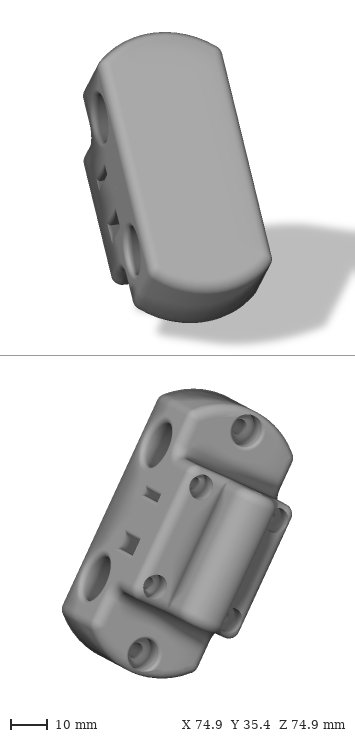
import cadquery as cq
import math


TILT = 45.0
DEPTH = 35.4
EDGE_ROUND = 3.0
CUT_EXTRA = 0.75
TOLERANCE = 0.01

ROD_SPACING = 40.0
HEAD_HALF_HEIGHT = 12.0
NECK_WIDTH = ROD_SPACING
NECK_BOTTOM = -25.0
NECK_CORNER_RADIUS = 3.0
BASE_TOP = -15.0

END_RADIUS = DEPTH / math.sqrt(2)
END_CORNER_X = ROD_SPACING / 2 + HEAD_HALF_HEIGHT
END_X = END_CORNER_X + END_RADIUS * (1 - math.sqrt(0.5))

FIN_WIDTH = 13.0
FIN_BOTTOM = -38.1
FIN_AXIS_Z = FIN_BOTTOM + FIN_WIDTH / 2
FIN_HOLE_DIAMETER = 3.8

BORE_DIAMETER = 13.0
BORE_MOUTH_ROUND = 1.5
POCKET_DIAMETER = 15.0
POCKET_LIP = 5.0

BELT_SLOTS = [(-7.0, 2.0), (7.6, 4.6)]
SLOT_HEIGHT = 10.0
SLOT_MOUTH_ROUND = 1.0

CLAMP_SCREW_X = 33.5
CLAMP_HEAD_DIAMETER = 9.0
CLAMP_HEAD_DEPTH = 5.6
CLAMP_SHANK_DIAMETER = 4.5
CLAMP_MOUTH_ROUND = 1.0

BASE_SCREW_INSET = 5.0
BASE_HEAD_DIAMETER = 7.0
BASE_HEAD_DEPTH = 4.95
BASE_SHANK_DIAMETER = 3.5


def block(x_size, y_size, z_bottom, z_top):
    """A box centred on X and Y between two heights."""
    height = z_top - z_bottom
    return cq.Workplane("XY", origin=(0, 0, z_bottom)).box(x_size, y_size, height, (True, True, False))


def rod_along_y(x, diameter, length):
    """A cylinder along Y, centred on the depth of the body, at the height of the first split."""
    return cq.Workplane("XZ", origin=(x, 0, 0)).circle(diameter / 2).extrude(length / 2, both=True)


def head_and_neck():
    """The rounded T shape that the three bodies share."""
    head_plan = (
        cq.Workplane("XY", origin=(0, 0, -HEAD_HALF_HEIGHT))
        .moveTo(-END_CORNER_X, -DEPTH / 2)
        .lineTo(END_CORNER_X, -DEPTH / 2)
        .threePointArc((END_X, 0), (END_CORNER_X, DEPTH / 2))
        .lineTo(-END_CORNER_X, DEPTH / 2)
        .threePointArc((-END_X, 0), (-END_CORNER_X, -DEPTH / 2))
        .close()
    )
    head = head_plan.extrude(2 * HEAD_HALF_HEIGHT)
    neck = block(NECK_WIDTH, DEPTH, NECK_BOTTOM, 0)
    shape = head.union(neck)
    inner_corners = shape.edges("|Y").edges(">Z")
    shape = inner_corners.fillet(NECK_CORNER_RADIUS)
    return shape.edges("(not |Y) or <Z").fillet(EDGE_ROUND)


def cut_bores(shape):
    """Cut both rod bores, round their mouths and open the bearing pockets between the lips."""
    rod_places = (-ROD_SPACING / 2, ROD_SPACING / 2)
    for x in rod_places:
        shape = shape.cut(rod_along_y(x, BORE_DIAMETER, DEPTH + 2 * CUT_EXTRA))
    mouths = shape.edges("%CIRCLE").filter(lambda edge: abs(edge.radius() - BORE_DIAMETER / 2) < TOLERANCE)
    shape = mouths.fillet(BORE_MOUTH_ROUND)
    for x in rod_places:
        shape = shape.cut(rod_along_y(x, POCKET_DIAMETER, DEPTH - 2 * POCKET_LIP))
    return shape


def hinge_fin():
    """The fin under the base: round along its bottom, with rounded rims at both ends."""
    profile = (
        cq.Workplane("YZ", origin=(-NECK_WIDTH / 2, 0, 0))
        .moveTo(-FIN_WIDTH / 2, BASE_TOP)
        .lineTo(-FIN_WIDTH / 2, FIN_AXIS_Z)
        .threePointArc((0, FIN_BOTTOM), (FIN_WIDTH / 2, FIN_AXIS_Z))
        .lineTo(FIN_WIDTH / 2, BASE_TOP)
        .close()
    )
    fin = profile.extrude(NECK_WIDTH)
    return fin.faces("<X or >X").edges("not(>Z)").fillet(EDGE_ROUND)


def clamp_screw_cutter(x):
    """A counterbored screw hole up to the first split, with a rounded mouth under the ear."""
    bottom = -HEAD_HALF_HEIGHT
    head_radius = CLAMP_HEAD_DIAMETER / 2
    shank_radius = CLAMP_SHANK_DIAMETER / 2
    mouth_radius = head_radius + CLAMP_MOUTH_ROUND
    floor = bottom + CLAMP_HEAD_DEPTH
    bend = CLAMP_MOUTH_ROUND * (1 - math.sqrt(0.5))
    return (
        cq.Workplane("XZ", origin=(x, 0, 0))
        .moveTo(0, bottom)
        .lineTo(mouth_radius, bottom)
        .threePointArc((head_radius + bend, bottom + bend), (head_radius, bottom + CLAMP_MOUTH_ROUND))
        .lineTo(head_radius, floor)
        .lineTo(shank_radius, floor)
        .lineTo(shank_radius, 0)
        .lineTo(0, 0)
        .close()
        .revolve(360, (0, 0), (0, 1))
    )


def cut_belt_slots(shape):
    """Cut the belt slots, open at the second split, and round their upright mouth edges."""
    for x, width in BELT_SLOTS:
        slot = block(width, DEPTH, BASE_TOP, BASE_TOP + SLOT_HEIGHT).translate((x, 0, 0))
        shape = shape.cut(slot)
        mouth = cq.selectors.BoxSelector(
            (x - width, -DEPTH, BASE_TOP), (x + width, DEPTH, BASE_TOP + SLOT_HEIGHT)
        )
        shape = shape.edges("|Z").edges(mouth).fillet(SLOT_MOUTH_ROUND)
    return shape


def make_cap(shape):
    return shape.intersect(block(3 * ROD_SPACING, 2 * DEPTH, 0, 2 * HEAD_HALF_HEIGHT))


def make_middle(shape):
    middle = shape.intersect(block(3 * ROD_SPACING, 2 * DEPTH, BASE_TOP, 0))
    middle = cut_belt_slots(middle)
    for x in (-CLAMP_SCREW_X, CLAMP_SCREW_X):
        middle = middle.cut(clamp_screw_cutter(x))
    return middle


def make_base(shape):
    base = shape.intersect(block(2 * NECK_WIDTH, 2 * DEPTH, 2 * NECK_BOTTOM, BASE_TOP))
    base = base.union(hinge_fin())
    screws = cq.Workplane("XY", origin=(0, 0, NECK_BOTTOM)).rarray(
        NECK_WIDTH - 2 * BASE_SCREW_INSET, DEPTH - 2 * BASE_SCREW_INSET, 2, 2
    )
    base = base.cut(screws.circle(BASE_HEAD_DIAMETER / 2).extrude(BASE_HEAD_DEPTH))
    base = base.cut(screws.circle(BASE_SHANK_DIAMETER / 2).extrude(BASE_TOP - NECK_BOTTOM))
    hinge_hole = cq.Workplane("YZ").center(0, FIN_AXIS_Z).circle(FIN_HOLE_DIAMETER / 2)
    return base.cut(hinge_hole.extrude(NECK_WIDTH, both=True))


def tilt(body):
    return body.solids().rotate((0, 0, 0), (0, 1, 0), TILT)


whole = cut_bores(head_and_neck())
cap = tilt(make_cap(whole))
middle = tilt(make_middle(whole))
base = tilt(make_base(whole))

result = cq.Compound.makeCompound([cap.val(), middle.val(), base.val()])